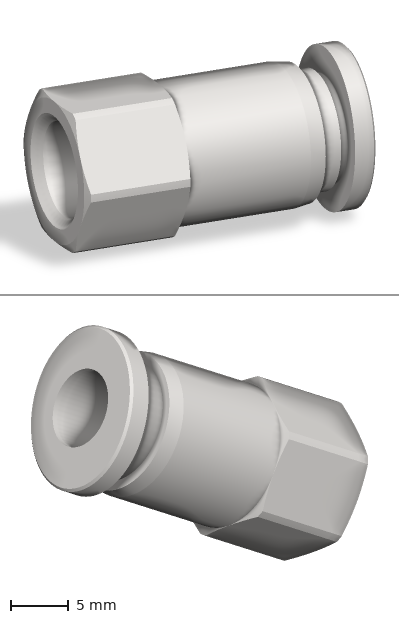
import cadquery as cq
import math

length = 27.7

across_flats = 13.0
across_corners = 14.6
hex_length = 10.0
hex_chamfer_angle = 20.0

body_diameter = across_flats
taper_start = 21.5
taper_end = 23.0
taper_end_diameter = 12.55

collar_diameter = 10.89
collar_end = 24.82
neck_diameter = 9.7
neck_root_radius = 0.1

flange_width = body_diameter
flange_height = 15.0
flange_thickness = 2.02
flange_start = length - flange_thickness
flange_chamfer = 0.22

mouth_diameter = 10.25
thread_large_diameter = 8.6
thread_small_diameter = 7.98
thread_end = hex_length
passage_diameter = 7.04
mouth_depth = (mouth_diameter - thread_large_diameter) / 2


def revolve_about_y(profile):
    """Turn a closed (radius, y) outline about the Y axis."""
    return cq.Workplane("XY").polyline(profile).close().revolve(360, (0, 0, 0), (0, 1, 0))


def along_y(y):
    """Sketch plane facing +Y at the given position, with its local y axis along Z."""
    return cq.Workplane(cq.Plane(origin=(0, y, 0), xDir=(-1, 0, 0), normal=(0, 1, 0)))


def make_hex():
    """Hexagon with flats at +Z and -Z, rounded corners and both ends chamfered conically."""
    sharp_corner_diameter = across_flats / math.cos(math.pi / 6)
    prism = along_y(0).polygon(6, sharp_corner_diameter).extrude(hex_length)
    corner_radius = across_corners / 2
    face_radius = across_flats / 2
    chamfer_depth = (corner_radius - face_radius) * math.tan(math.radians(hex_chamfer_angle))
    envelope = revolve_about_y([
        (0, 0),
        (face_radius, 0),
        (corner_radius, chamfer_depth),
        (corner_radius, hex_length - chamfer_depth),
        (face_radius, hex_length),
        (0, hex_length),
    ])
    return prism.intersect(envelope)


def make_sleeve():
    """Sleeve, tapered shoulder, collar and neck, reaching up to the flange."""
    return revolve_about_y([
        (0, hex_length),
        (body_diameter / 2, hex_length),
        (body_diameter / 2, taper_start),
        (taper_end_diameter / 2, taper_end),
        (collar_diameter / 2, taper_end),
        (collar_diameter / 2, collar_end),
        (neck_diameter / 2, collar_end),
        (neck_diameter / 2, flange_start),
        (0, flange_start),
    ])


def make_flange():
    """Elliptical plate with a chamfered outer rim."""
    plate = along_y(flange_start).ellipse(flange_width / 2, flange_height / 2)
    return plate.extrude(flange_thickness).faces(">Y").edges().chamfer(flange_chamfer)


def make_bore():
    return revolve_about_y([
        (0, 0),
        (mouth_diameter / 2, 0),
        (thread_large_diameter / 2, mouth_depth),
        (thread_small_diameter / 2, thread_end),
        (passage_diameter / 2, thread_end),
        (passage_diameter / 2, length),
        (0, length),
    ])


def round_neck_root(part):
    """Small fillet where the neck runs into the flange face."""
    root_edge = cq.selectors.BoxSelector(
        (-neck_diameter, flange_start - neck_root_radius, -neck_diameter),
        (neck_diameter, flange_start + neck_root_radius, neck_diameter),
    )
    return part.edges(root_edge).edges("%CIRCLE").fillet(neck_root_radius)


body = make_hex().union(make_sleeve()).union(make_flange())
result = round_neck_root(body).cut(make_bore())